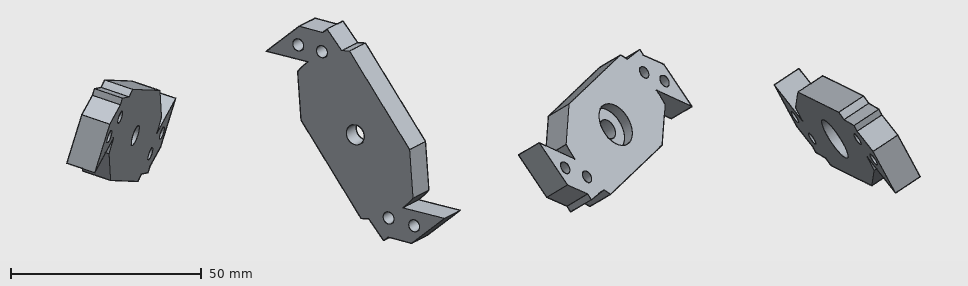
import cadquery as cq
import math

thickness = 8.0
body_radius = 22.9
bore_diameter = 5.5
recess_diameter = 12.0
recess_depth = 3.0
pin_hole_diameter = 3.35


def on_rim(y):
    """Point of the upper body rim at the given y."""
    return (y, math.sqrt(body_radius**2 - y**2))


def half_turn(point):
    return (-point[0], -point[1])


upper_rim_start = on_rim(-1.8)
upper_rim_middle = on_rim(-3.0)
upper_rim_end = on_rim(-4.15)
spur = (-8.7, 27.75)
spur_foot = (-10.1, 26.5)
shoulder = (-17.3, 27.0)
tip = (-27.5, 18.3)
side_rim_start = on_rim(-14.65)
side_rim_middle = on_rim(-16.3)
side_rim_end = on_rim(-17.8)
side_corner = (-16.75, 1.15)

inner_pin = (-10.25, 21.2)
pin_holes = [
    inner_pin,
    (-17.6, 21.8),
    half_turn(inner_pin),
    (18.15, -21.95),
]


def add_half(sketch, place):
    """Draw half of the outline, each point moved by `place`."""
    return (
        sketch
        .lineTo(*place(upper_rim_start))
        .threePointArc(place(upper_rim_middle), place(upper_rim_end))
        .lineTo(*place(spur))
        .lineTo(*place(spur_foot))
        .lineTo(*place(shoulder))
        .lineTo(*place(tip))
        .lineTo(*place(side_rim_start))
        .threePointArc(place(side_rim_middle), place(side_rim_end))
        .lineTo(*place(side_corner))
    )


def make_plate():
    """Two-winged plate, symmetric about a half turn."""
    sketch = cq.Workplane("YZ").moveTo(*half_turn(side_corner))
    sketch = add_half(sketch, lambda point: point)
    sketch = add_half(sketch, half_turn)
    return sketch.close().extrude(thickness / 2, both=True)


def drill(points, diameter, depth):
    """Cylinders running in +X from the -X face."""
    face = cq.Workplane("YZ", origin=(-thickness / 2, 0, 0))
    return face.pushPoints(points).circle(diameter / 2).extrude(depth)


centre = [(0, 0)]
result = (
    make_plate()
    .cut(drill(centre, bore_diameter, thickness))
    .cut(drill(centre, recess_diameter, recess_depth))
    .cut(drill(pin_holes, pin_hole_diameter, thickness))
)